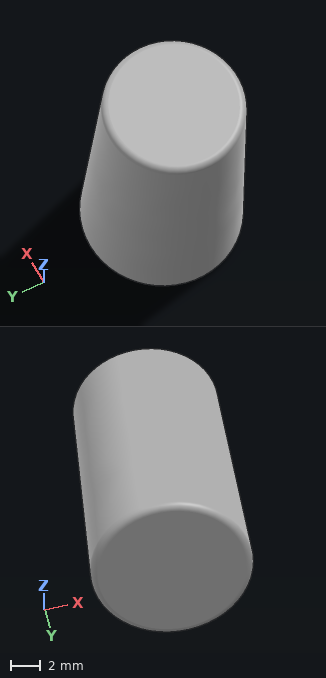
import cadquery as cq
import math

length = 18.42
base_radius = 5.58
taper_angle = 2.0
tilt_angle = 6.0
edge_round = 0.5

top_radius = base_radius - length * math.tan(math.radians(taper_angle))

plug = (
    cq.Workplane("XZ")
    .polyline([(0, 0), (base_radius, 0), (top_radius, length), (0, length)])
    .close()
    .revolve(360, (0, 0), (0, 1))
)

plug = plug.faces("<Z or >Z").edges().fillet(edge_round)

result = plug.rotate((0, 0, 0), (0, 1, 0), -tilt_angle)